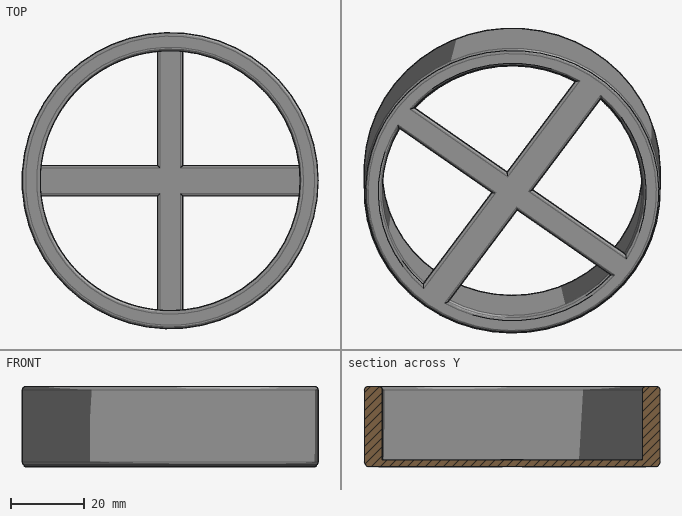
import cadquery as cq

outer_diameter = 81.0
bore_diameter = 71.0
height = 22.0
ring_base_z = 0.4
ring_fillet = 1.0

rim_inset = 0.4
rim_outer_diameter = outer_diameter - 2 * rim_inset
rim_inner_diameter = bore_diameter + 2 * rim_inset
base_thickness = 2.0
base_fillet = 0.69
bar_x_width = 8.4
bar_y_width = 7.0


def make_tube(tube_outer_diameter, tube_inner_diameter, tube_height):
    """Plain tube standing on the XY plane."""
    profile = cq.Workplane("XY").circle(tube_outer_diameter / 2).circle(tube_inner_diameter / 2)
    return profile.extrude(tube_height)


def make_ring():
    """Tall ring with rounded inner and outer edges at both ends."""
    ring = make_tube(outer_diameter, bore_diameter, height - ring_base_z)
    return ring.edges("%CIRCLE").fillet(ring_fillet).translate((0, 0, ring_base_z))


def make_bar(size_x, size_y):
    """Flat bar through the centre, standing on the XY plane."""
    return cq.Workplane("XY").box(size_x, size_y, base_thickness, centered=(True, True, False))


def make_base():
    """Thin rim joined by two crossed bars, with its top and bottom edges rounded."""
    bar_length = (rim_outer_diameter + rim_inner_diameter) / 2
    base = make_tube(rim_outer_diameter, rim_inner_diameter, base_thickness)
    base = base.union(make_bar(bar_length, bar_x_width)).union(make_bar(bar_y_width, bar_length)).clean()
    return base.faces("<Z or >Z").edges().fillet(base_fillet)


result = make_ring().union(make_base())